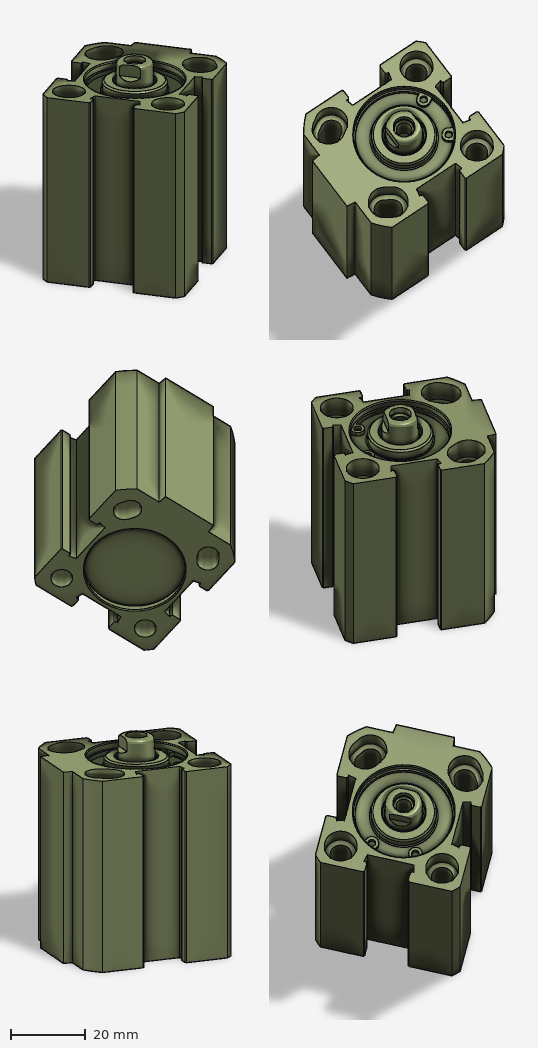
import cadquery as cq
import math

housing_length = 53.5
half_width = 20.0
back_face_y = 22.0
corner_radius = 27.0
rib_height = 2.5
rib_half_width_top = 8.0
rib_half_width_base = 8.3

slot_half_width = 6.0
lip_depth = 3.1
slot_depth = 5.2
undercut_half_width = 6.9
floor_half_width = 6.4
lip_radius = 0.3

bolt_offset = 14.0
bolt_hole_diameter = 5.8
counterbore_diameter = 8.8
counterbore_depth = 5.6
bolt_slot_shift_x = 1.0
bolt_slot_shift_y = 1.6

recess_diameter = 27.0
recess_mouth_diameter = 27.6
recess_mouth_chamfer = (recess_mouth_diameter - recess_diameter) / 2
groove_diameter = 28.4
groove_start = 1.8
groove_end = 3.2
groove_width = groove_end - groove_start

cover_diameter = 26.9
cover_flange_thickness = 8.0
collar_diameter = 17.5
collar_chamfer = 0.5
collar_top_drop = 0.3
collar_foot_diameter = 18.4
collar_foot_height = 0.2
seal_mouth_diameter = 12.0
seal_mouth_chamfer = 0.3
seal_diameter = 11.4
seal_depth = 0.8
clearance_diameter = 10.48
clearance_depth = 1.6

flange_top_z = housing_length - groove_end
cover_bottom_z = flange_top_z - cover_flange_thickness
collar_top_z = housing_length - collar_top_drop

rod_diameter = 10.0
rod_projection = 5.5
rod_edge_radius = 1.2
flat_distance = 8.0
flat_length = 3.4
rod_top_z = housing_length + rod_projection
thread_relief_diameter = 5.8
thread_lead_in_diameter = 5.25
thread_relief_depth = 1.8
thread_diameter = 4.13
thread_depth = 10.0
drill_point_angle = 118.0

ring_thickness = 1.2
ring_inner_diameter = 26.2
lug_pitch_radius = 12.0
lug_radius = 1.85
lug_hole_diameter = 2.0
lug_half_angle = 30.3
gap_angle = 268.5


def cylinder(diameter, bottom_z, top_z):
    """A cylinder on the bore axis between two heights."""
    return cq.Workplane("XY").workplane(offset=bottom_z).circle(diameter / 2).extrude(top_z - bottom_z)


def cone(bottom_diameter, top_diameter, bottom_z, top_z):
    """A truncated cone on the bore axis."""
    solid = cq.Solid.makeCone(
        bottom_diameter / 2,
        top_diameter / 2,
        top_z - bottom_z,
        pnt=cq.Vector(0, 0, bottom_z),
    )
    return cq.Workplane(solid)


def housing_block():
    """The outer block with rounded-off corners and the rib on its +Y face."""
    block = (
        cq.Workplane("XY")
        .center(0, (back_face_y - half_width) / 2)
        .rect(2 * half_width, back_face_y + half_width)
        .extrude(housing_length)
        .intersect(cylinder(2 * corner_radius, 0, housing_length))
    )
    rib = (
        cq.Workplane("XY")
        .polyline([
            (-rib_half_width_base, 0),
            (-rib_half_width_base, back_face_y),
            (-rib_half_width_top, back_face_y + rib_height),
            (rib_half_width_top, back_face_y + rib_height),
            (rib_half_width_base, back_face_y),
            (rib_half_width_base, 0),
        ])
        .close()
        .extrude(housing_length)
    )
    return block.union(rib)


def sensor_slot(angle):
    """A slot through the full length, cut into the -Y face and then turned about the axis."""
    floor_y = slot_depth - half_width
    lip_edge = slot_half_width + lip_radius
    lip_inner_y = lip_depth - half_width
    half_slot = (
        cq.Workplane("XY")
        .moveTo(0, -half_width)
        .lineTo(lip_edge, -half_width)
        .radiusArc((slot_half_width, lip_radius - half_width), -lip_radius)
        .lineTo(slot_half_width, lip_inner_y - lip_radius)
        .radiusArc((lip_edge, lip_inner_y), -lip_radius)
        .lineTo(undercut_half_width, lip_inner_y)
        .lineTo(floor_half_width, floor_y)
        .lineTo(0, floor_y)
        .close()
        .extrude(housing_length)
    )
    slot = half_slot.union(half_slot.mirror("YZ"))
    return slot.rotate((0, 0, 0), (0, 0, 1), angle)


def stretched_hole(diameter, side, bottom_z, top_z):
    """A hole near a +Y corner, stretched towards +Y and the middle; side is -1 or 1 in X."""
    length = math.hypot(bolt_slot_shift_x, bolt_slot_shift_y)
    angle = math.degrees(math.atan2(bolt_slot_shift_y, -side * bolt_slot_shift_x))
    center_x = side * (bolt_offset - bolt_slot_shift_x / 2)
    center_y = bolt_offset + bolt_slot_shift_y / 2
    return (
        cq.Workplane("XY")
        .workplane(offset=bottom_z)
        .center(center_x, center_y)
        .slot2D(length + diameter, diameter, angle)
        .extrude(top_z - bottom_z)
    )


def round_hole(diameter, side, bottom_z, top_z):
    """A hole near a -Y corner; side is -1 or 1 in X."""
    return cylinder(diameter, bottom_z, top_z).translate((side * bolt_offset, -bolt_offset, 0))


def make_housing():
    body = housing_block()
    for angle in (-90, 0, 90):
        body = body.cut(sensor_slot(angle))

    counterbore_floor_z = housing_length - counterbore_depth
    for side in (-1, 1):
        for hole in (round_hole, stretched_hole):
            body = body.cut(hole(bolt_hole_diameter, side, 0, housing_length))
            body = body.cut(hole(counterbore_diameter, side, counterbore_floor_z, housing_length))

    body = body.cut(cylinder(recess_diameter, cover_bottom_z, housing_length))
    body = body.cut(cylinder(recess_diameter, 0, groove_end))
    mouth_z = housing_length - recess_mouth_chamfer
    body = body.cut(cone(recess_diameter, recess_mouth_diameter, mouth_z, housing_length))
    body = body.cut(cone(recess_mouth_diameter, recess_diameter, 0, recess_mouth_chamfer))
    for groove_z in (groove_start, flange_top_z):
        body = body.cut(cylinder(groove_diameter, groove_z, groove_z + groove_width))
    return body


def make_cover():
    foot_top_z = flange_top_z + collar_foot_height
    body = (
        cylinder(collar_diameter, flange_top_z, collar_top_z)
        .faces(">Z")
        .chamfer(collar_chamfer)
        .union(cylinder(collar_foot_diameter, flange_top_z, foot_top_z))
        .union(cylinder(cover_diameter, cover_bottom_z, flange_top_z))
    )
    body = body.cut(cylinder(rod_diameter, cover_bottom_z, collar_top_z))
    body = body.cut(cylinder(clearance_diameter, collar_top_z - clearance_depth, collar_top_z))
    body = body.cut(cylinder(seal_diameter, collar_top_z - seal_depth, collar_top_z))
    mouth_z = collar_top_z - seal_mouth_chamfer
    return body.cut(cone(seal_diameter, seal_mouth_diameter, mouth_z, collar_top_z))


def wrench_flat_cut():
    """Material removed on the -Y side: a flat that runs out at 45 degrees."""
    flat_y = flat_distance / 2
    runout_z = rod_top_z - flat_length
    return (
        cq.Workplane("YZ")
        .polyline([
            (-flat_y, rod_top_z),
            (-flat_y, runout_z),
            (-rod_diameter, runout_z - (rod_diameter - flat_y)),
            (-rod_diameter, rod_top_z),
        ])
        .close()
        .extrude(rod_diameter / 2, both=True)
    )


def make_rod():
    body = cylinder(rod_diameter, cover_bottom_z, rod_top_z).faces(">Z").edges().fillet(rod_edge_radius)
    flat = wrench_flat_cut()
    body = body.cut(flat).cut(flat.mirror("XZ"))

    relief_floor_z = rod_top_z - thread_relief_depth
    thread_start_z = relief_floor_z - (thread_lead_in_diameter - thread_diameter) / 2
    thread_floor_z = rod_top_z - thread_depth
    point_depth = thread_diameter / 2 / math.tan(math.radians(drill_point_angle / 2))
    body = body.cut(cylinder(thread_relief_diameter, relief_floor_z, rod_top_z))
    body = body.cut(cone(thread_diameter, thread_lead_in_diameter, thread_start_z, relief_floor_z))
    body = body.cut(cylinder(thread_diameter, thread_floor_z, rod_top_z))
    return body.cut(cone(0, thread_diameter, thread_floor_z - point_depth, thread_floor_z))


def make_snap_ring():
    """An open ring lying on the cover flange, built with its gap towards +X and then turned."""
    bottom_z = flange_top_z
    top_z = bottom_z + ring_thickness
    outer_radius = groove_diameter / 2
    disc = cylinder(groove_diameter, bottom_z, top_z)
    body = disc.cut(cylinder(ring_inner_diameter, bottom_z, top_z))

    half_angle = math.radians(lug_half_angle)
    reach = 2 * outer_radius
    gap = (
        cq.Workplane("XY")
        .workplane(offset=bottom_z)
        .polyline([
            (0, 0),
            (reach * math.cos(half_angle), -reach * math.sin(half_angle)),
            (reach * math.cos(half_angle), reach * math.sin(half_angle)),
        ])
        .close()
        .extrude(ring_thickness)
    )
    body = body.cut(gap)

    for angle in (-lug_half_angle, lug_half_angle):
        base = cq.Workplane("XY").workplane(offset=bottom_z).center(lug_pitch_radius, 0)
        lug = base.circle(lug_radius).extrude(ring_thickness)
        neck = base.rect(2 * (outer_radius - lug_pitch_radius), 2 * lug_radius).extrude(ring_thickness)
        neck = neck.cut(cylinder(2 * lug_pitch_radius, bottom_z, top_z))
        hole = base.circle(lug_hole_diameter / 2).extrude(ring_thickness)
        eye = lug.union(neck).intersect(disc)
        body = body.union(eye.rotate((0, 0, 0), (0, 0, 1), angle))
        body = body.cut(hole.rotate((0, 0, 0), (0, 0, 1), angle))
    return body.rotate((0, 0, 0), (0, 0, 1), gap_angle)


housing = make_housing()
cover = make_cover()
rod = make_rod()
snap_ring = make_snap_ring()

result = cq.Compound.makeCompound([housing.val(), cover.val(), rod.val(), snap_ring.val()])